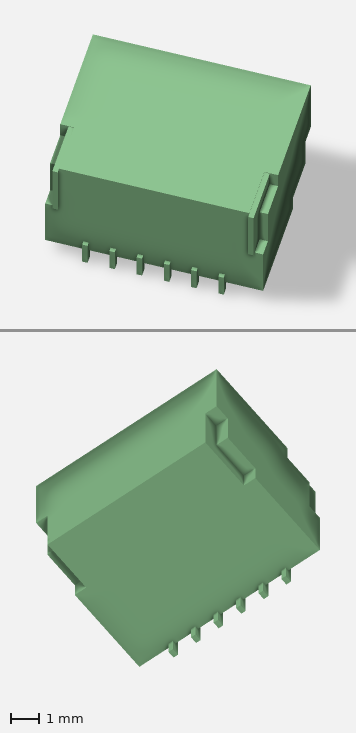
import cadquery as cq

body_width = 8
body_depth = 6
body_height = 4.4

recess_depth = 0.5
recess_leg_width = 0.65
recess_long_leg = 2.25
recess_short_leg = 1.93
front_recess_shift = 0.04

tab_thickness = 0.2
tab_clearance = 0.02

front_overhang = 0.15
pin_count = 6
pin_pitch = 1.0
pin_width = 0.2
pin_depth = 0.3
pin_height = 1.0
pin_drop = 0.55


def plate(outline, x_start, thickness):
    """Extrude a (Y, Z) outline towards +X from x_start."""
    return cq.Workplane("YZ", origin=(x_start, 0, 0)).polyline(outline).close().extrude(thickness)


def corner_outline(y_outer, z_outer, y_inner, z_inner, y_end, z_end):
    """L outline: outer corner, inner corner, and the ends of its two legs."""
    return [
        (y_outer, z_outer),
        (y_end, z_outer),
        (y_end, z_inner),
        (y_inner, z_inner),
        (y_inner, z_end),
        (y_outer, z_end),
    ]


def on_both_sides(left):
    return left.union(left.mirror("YZ"))


left_face = -body_width / 2
leg_bottom = body_height - recess_long_leg
front_leg_edge = recess_leg_width - front_recess_shift
front_leg_end = recess_short_leg - front_recess_shift
front_recess_outline = corner_outline(
    0, body_height,
    front_leg_edge, body_height - recess_leg_width,
    front_leg_end, leg_bottom,
)
back_recess_outline = corner_outline(
    body_depth, 0,
    body_depth - recess_leg_width, recess_leg_width,
    body_depth - recess_long_leg, recess_short_leg,
)
tab_outline = corner_outline(
    -front_overhang, body_height - tab_clearance,
    front_leg_edge, body_height - recess_leg_width,
    front_leg_end, leg_bottom + tab_clearance,
)

housing = cq.Workplane("XY").box(body_width, body_depth, body_height, centered=(True, False, False))
for recess_outline in (front_recess_outline, back_recess_outline):
    housing = housing.cut(on_both_sides(plate(recess_outline, left_face, recess_depth)))

tab_start = left_face + recess_depth - tab_thickness
tabs = on_both_sides(plate(tab_outline, tab_start, tab_thickness))

pins = (
    cq.Workplane("XY", origin=(0, pin_depth / 2 - front_overhang, -pin_drop))
    .rarray(pin_pitch, 0.08, pin_count, 1)
    .rect(pin_width, pin_depth)
    .extrude(pin_height)
)

result = housing.union(tabs).union(pins)